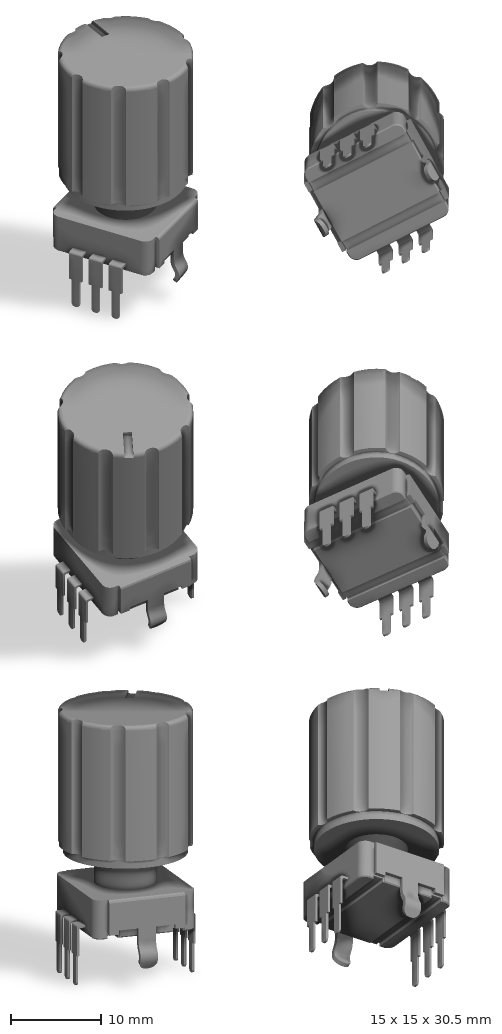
import cadquery as cq
import math


KNOB_TOP = 30.5
KNOB_BOTTOM = 14.98
COLLAR_BOTTOM = 13.97
COVER_TOP = 10.52
HOUSING_BOTTOM = 5.98
PIN_TOP = 6.98
PIN_SHOULDER = 3.48

KNOB_RADIUS = 7.5
KNOB_FILLET = 0.5
COLLAR_RADIUS = 6.92
FLUTE_COUNT = 9
FLUTE_RADIUS = 1.0
FLUTE_CENTRE_RADIUS = 8.0
POINTER_ANGLE = 152.5
POINTER_WIDTH = 1.0
POINTER_INNER_RADIUS = 3.9
POINTER_DEPTH = KNOB_FILLET

SHAFT_RADIUS = 3.5

HOUSING_X = 12.4
HOUSING_Y = 12.1
CORNER_RADIUS = 1.0
BASE_CHAMFER = 0.12
SHEET = 0.5
COVER_BOTTOM = COVER_TOP - SHEET
CHANNEL_TOP = 6.4
CHANNEL_INNER_Y = 3.25
CHANNEL_OUTER_Y = 4.5
MOUTH_TOP = 6.98
MOUTH_MARGIN = 0.12
MOUTH_DEPTH = 0.12

FLAP_OUTER_X = HOUSING_X / 2 + SHEET
FLAP_WIDTH = 9.03
FLAP_BOTTOM = 6.5
BEVEL_LONG = 0.3
BEVEL_SHORT = 0.1
FLAP_NOTCH_WIDTH = 6.7
LEG_WIDTH = 2.07
LEG_BEND_START = 5.5
LEG_ANGLE = 30
LEG_UPPER_RADIUS = 1.6
LEG_STRAIGHT = 0.45
LEG_LOWER_RADIUS = 1.22
LEG_TIP_LENGTH = 0.95
LEG_TIP_ROUND = 0.9

PIN_COLUMNS = 3
PIN_PITCH = 2.5
PIN_OUTER_Y = 7.05
PIN_THICKNESS = 0.27
PIN_WIDTH = 1.65
PIN_TAIL_WIDTH = 0.95
PIN_TAIL_ROUND = 0.4
PIN_BEND_RADIUS = 0.2


def make_box(x_range, y_range, z_range):
    """Axis-aligned box between pairs of limits."""
    size = [high - low for low, high in (x_range, y_range, z_range)]
    corner = (x_range[0], y_range[0], z_range[0])
    return cq.Workplane("XY").box(*size, centered=False).translate(corner)


def make_knob():
    """Round knob with a filleted top, vertical flutes, a pointer slot and a lower collar."""
    grip = cq.Workplane("XY").workplane(offset=KNOB_BOTTOM).circle(KNOB_RADIUS)
    grip = grip.extrude(KNOB_TOP - KNOB_BOTTOM).faces(">Z").edges().fillet(KNOB_FILLET)

    first_flute = POINTER_ANGLE + 180 / FLUTE_COUNT
    flutes = cq.Workplane("XY").workplane(offset=KNOB_BOTTOM)
    flutes = flutes.polarArray(FLUTE_CENTRE_RADIUS, first_flute, 360, FLUTE_COUNT)
    flutes = flutes.circle(FLUTE_RADIUS).extrude(KNOB_TOP - KNOB_BOTTOM)

    pointer = make_box(
        (POINTER_INNER_RADIUS, KNOB_RADIUS + POINTER_WIDTH),
        (-POINTER_WIDTH / 2, POINTER_WIDTH / 2),
        (KNOB_TOP - POINTER_DEPTH, KNOB_TOP),
    ).rotate((0, 0, 0), (0, 0, 1), POINTER_ANGLE)

    collar = cq.Workplane("XY").workplane(offset=COLLAR_BOTTOM).circle(COLLAR_RADIUS)
    collar = collar.extrude(KNOB_BOTTOM - COLLAR_BOTTOM)
    return grip.cut(flutes).cut(pointer).union(collar)


def make_shaft():
    """Plain cylinder between the cover and the knob."""
    shaft = cq.Workplane("XY").workplane(offset=COVER_TOP).circle(SHAFT_RADIUS)
    return shaft.extrude(COLLAR_BOTTOM - COVER_TOP)


def make_rounded_block(bottom, top):
    """Block with the housing outline between two heights."""
    block = cq.Workplane("XY").workplane(offset=bottom).rect(HOUSING_X, HOUSING_Y)
    return block.extrude(top - bottom).edges("|Z").fillet(CORNER_RADIUS)


def make_channel():
    """Cutter for the channel on the +Y half, with a shallow wider mouth on each X face."""
    half_x = HOUSING_X / 2
    channel = make_box(
        (-half_x, half_x),
        (CHANNEL_INNER_Y, CHANNEL_OUTER_Y),
        (HOUSING_BOTTOM, CHANNEL_TOP),
    )
    mouth = make_box(
        (half_x - MOUTH_DEPTH, half_x),
        (CHANNEL_INNER_Y - MOUTH_MARGIN, CHANNEL_OUTER_Y + MOUTH_MARGIN),
        (HOUSING_BOTTOM, MOUTH_TOP),
    )
    return channel.union(mouth).union(mouth.mirror("YZ"))


def make_housing():
    """Block with a chamfered base and two channels along X across its underside."""
    housing = make_rounded_block(HOUSING_BOTTOM, COVER_BOTTOM)
    housing = housing.faces("<Z").edges().chamfer(BASE_CHAMFER)
    channel = make_channel()
    return housing.cut(channel).cut(channel.mirror("XZ"))


def make_spring_leg():
    """Leg on the +X side: it bends outward, then back inward, and has a rounded tip."""
    angle = math.radians(LEG_ANGLE)
    along_x = math.sin(angle)
    along_z = math.cos(angle)
    half_x = math.sin(angle / 2)
    half_z = math.cos(angle / 2)
    inner_x = FLAP_OUTER_X - SHEET
    lower_inner_radius = LEG_LOWER_RADIUS - SHEET

    upper_x = FLAP_OUTER_X + LEG_UPPER_RADIUS
    upper_z = LEG_BEND_START
    reach = LEG_UPPER_RADIUS + LEG_LOWER_RADIUS
    lower_x = upper_x - reach * along_z + LEG_STRAIGHT * along_x
    lower_z = upper_z - reach * along_x - LEG_STRAIGHT * along_z

    def on_upper(radius, x_share, z_share):
        return (upper_x - radius * x_share, upper_z - radius * z_share)

    def on_lower(radius, z_share):
        return (lower_x + radius * along_z, lower_z + radius * z_share)

    def tip_point(radius):
        bend_x, bend_z = on_lower(radius, -along_x)
        return (bend_x - LEG_TIP_LENGTH * along_x, bend_z - LEG_TIP_LENGTH * along_z)

    upper_inner_radius = LEG_UPPER_RADIUS + SHEET
    leg = (
        cq.Workplane("XZ", origin=(0, LEG_WIDTH / 2, 0))
        .moveTo(inner_x, MOUTH_TOP)
        .lineTo(FLAP_OUTER_X, MOUTH_TOP)
        .lineTo(FLAP_OUTER_X, LEG_BEND_START)
        .threePointArc(
            on_upper(LEG_UPPER_RADIUS, half_z, half_x),
            on_upper(LEG_UPPER_RADIUS, along_z, along_x),
        )
        .lineTo(*on_lower(LEG_LOWER_RADIUS, along_x))
        .threePointArc((lower_x + LEG_LOWER_RADIUS, lower_z), on_lower(LEG_LOWER_RADIUS, -along_x))
        .lineTo(*tip_point(LEG_LOWER_RADIUS))
        .lineTo(*tip_point(lower_inner_radius))
        .lineTo(*on_lower(lower_inner_radius, -along_x))
        .threePointArc((lower_x + lower_inner_radius, lower_z), on_lower(lower_inner_radius, along_x))
        .lineTo(*on_upper(upper_inner_radius, along_z, along_x))
        .threePointArc(
            on_upper(upper_inner_radius, half_z, half_x),
            (inner_x, LEG_BEND_START),
        )
        .close()
        .extrude(LEG_WIDTH)
    )
    across_tip = cq.Vector(along_z, 0, -along_x)
    tip_edges = cq.selectors.ParallelDirSelector(across_tip)
    return leg.edges(tip_edges).fillet(LEG_TIP_ROUND)


def make_flap():
    """Flap on the +X side of the cover, with two bevels on its top edge, notched around its spring leg."""
    flap = (
        cq.Workplane("XZ", origin=(0, FLAP_WIDTH / 2, 0))
        .moveTo(FLAP_OUTER_X - SHEET, FLAP_BOTTOM)
        .lineTo(FLAP_OUTER_X, FLAP_BOTTOM)
        .lineTo(FLAP_OUTER_X, COVER_TOP - BEVEL_LONG)
        .lineTo(FLAP_OUTER_X - BEVEL_SHORT, COVER_TOP - BEVEL_SHORT)
        .lineTo(FLAP_OUTER_X - BEVEL_LONG, COVER_TOP)
        .lineTo(FLAP_OUTER_X - SHEET, COVER_TOP)
        .close()
        .extrude(FLAP_WIDTH)
    )
    notch = make_box(
        (FLAP_OUTER_X - SHEET, FLAP_OUTER_X),
        (-FLAP_NOTCH_WIDTH / 2, FLAP_NOTCH_WIDTH / 2),
        (FLAP_BOTTOM, MOUTH_TOP),
    )
    return flap.cut(notch).union(make_spring_leg())


def make_cover():
    """Top plate with a flap and spring leg on each X side."""
    flap = make_flap()
    plate = make_rounded_block(COVER_BOTTOM, COVER_TOP)
    return plate.union(flap).union(flap.mirror("YZ"))


def make_pin():
    """Pin bent down from the +Y face of the housing, at X = 0."""
    upright_y = PIN_OUTER_Y - PIN_THICKNESS
    arm_y = HOUSING_Y / 2
    half_width = PIN_WIDTH / 2
    half_tail = PIN_TAIL_WIDTH / 2
    arm = make_box(
        (-half_width, half_width), (arm_y, PIN_OUTER_Y), (PIN_TOP - PIN_THICKNESS, PIN_TOP)
    )
    blade = make_box((-half_width, half_width), (upright_y, PIN_OUTER_Y), (PIN_SHOULDER, PIN_TOP))
    tail = make_box((-half_tail, half_tail), (upright_y, PIN_OUTER_Y), (0, PIN_SHOULDER))
    tail = tail.faces("<Z").edges("|Y").fillet(PIN_TAIL_ROUND)

    pin = arm.union(blade)
    inner_corner = cq.selectors.NearestToPointSelector((0, upright_y, PIN_TOP - PIN_THICKNESS))
    pin = pin.edges(">Y and >Z").fillet(PIN_BEND_RADIUS)
    pin = pin.edges(inner_corner).fillet(PIN_BEND_RADIUS)
    return pin.union(tail)


def make_pins():
    """Rows of pins along the +Y and -Y faces of the housing."""
    back_pin = make_pin()
    front_pin = back_pin.mirror("XZ")
    pins = []
    for column in range(PIN_COLUMNS):
        x = (column - (PIN_COLUMNS - 1) / 2) * PIN_PITCH
        for pin in (front_pin, back_pin):
            pins.append(pin.translate((x, 0, 0)).val())
    return pins


knob = make_knob()
shaft = make_shaft()
housing = make_housing()
cover = make_cover()
pins = make_pins()

result = cq.Compound.makeCompound([knob.val(), shaft.val(), housing.val(), cover.val(), *pins])